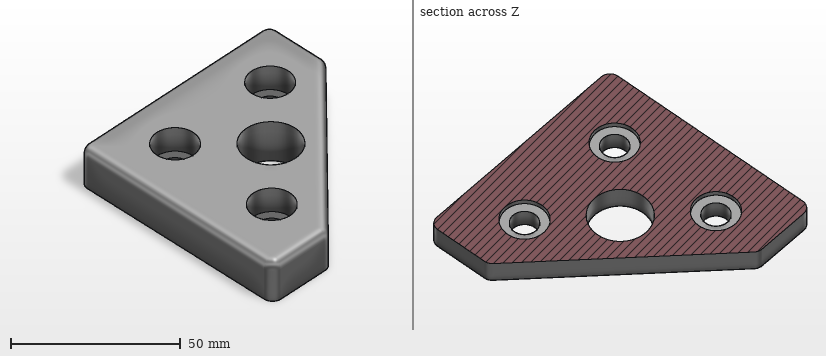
import cadquery as cq

side = 80.0
thickness = 15.0
short_edge = 23.47
edge_radius = 3.5

bolt_inset = 20.0
bolt_spacing = 40.0
bolt_diameter = 9.0
counterbore_diameter = 15.0
counterbore_depth = 9.0
center_hole_diameter = 20.0


def make_plate():
    """Five-sided plate with rounded upright corners and a rounded upper rim."""
    outline = [
        (0, 0),
        (side, 0),
        (side, short_edge),
        (short_edge, side),
        (0, side),
    ]
    plate = cq.Workplane("XY").polyline(outline).close().extrude(thickness)
    plate = plate.edges("|Z").fillet(edge_radius)
    return plate.faces(">Z").edges().fillet(edge_radius)


def upright_cylinder(center, diameter, bottom, top):
    """Cylinder along Z between two heights."""
    base = cq.Workplane("XY").workplane(offset=bottom).center(*center)
    return base.circle(diameter / 2).extrude(top - bottom)


def cut_bolt_holes(plate):
    """Three counterbored through holes in an L pattern."""
    near = bolt_inset
    far = bolt_inset + bolt_spacing
    for center in [(near, near), (far, near), (near, far)]:
        plate = plate.cut(upright_cylinder(center, bolt_diameter, 0, thickness))
        floor = thickness - counterbore_depth
        plate = plate.cut(upright_cylinder(center, counterbore_diameter, floor, thickness))
    return plate


def cut_center_hole(plate):
    """Large through hole midway between the two outer bolts."""
    middle = bolt_inset + bolt_spacing / 2
    return plate.cut(upright_cylinder((middle, middle), center_hole_diameter, 0, thickness))


result = cut_center_hole(cut_bolt_holes(make_plate()))